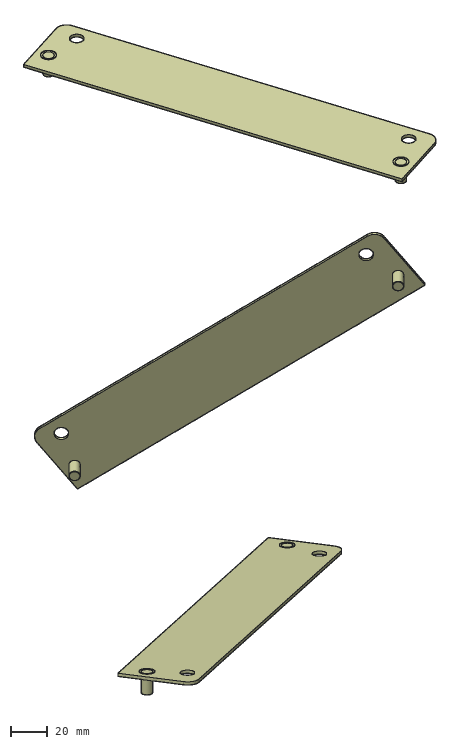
import cadquery as cq

PLATE_LENGTH = 231.8
PLATE_WIDTH = 44.5
PLATE_THICKNESS = 1.9
CORNER_RADIUS = 6.5

HOLE_DIAMETER = 7.9
HOLE_SPACING = 203.3
HOLE_EDGE_DISTANCE = 9.5

PIN_SPACING = 215.8
PIN_EDGE_DISTANCE = 14.0
SHANK_DIAMETER = 6.3
HEAD_DIAMETER = 8.5
HEAD_THICKNESS = 0.25
OVERALL_HEIGHT = 12.7
TIP_CHAMFER = 0.25

HOLE_Y = PLATE_WIDTH / 2 - HOLE_EDGE_DISTANCE
PIN_Y = -PLATE_WIDTH / 2 + PIN_EDGE_DISTANCE
HOLE_CENTERS = [(side * HOLE_SPACING / 2, HOLE_Y) for side in (-1, 1)]
PIN_CENTERS = [(side * PIN_SPACING / 2, PIN_Y) for side in (-1, 1)]
SHANK_LENGTH = OVERALL_HEIGHT - HEAD_THICKNESS


def make_plate():
    """Thin plate with two rounded corners, open holes and holes for the pins."""
    plate = cq.Workplane("XY").box(
        PLATE_LENGTH, PLATE_WIDTH, PLATE_THICKNESS, centered=(True, True, False)
    )
    plate = plate.edges("|Z and >Y").fillet(CORNER_RADIUS)
    top = plate.faces(">Z").workplane(origin=(0, 0, PLATE_THICKNESS))
    plate = top.pushPoints(HOLE_CENTERS).hole(HOLE_DIAMETER)
    top = plate.faces(">Z").workplane(origin=(0, 0, PLATE_THICKNESS))
    return top.pushPoints(PIN_CENTERS).hole(SHANK_DIAMETER)


def make_pin(center):
    """Pin with a flat head resting on the plate and a chamfered lower tip."""
    head_seat = cq.Workplane("XY", origin=(*center, PLATE_THICKNESS))
    shank = head_seat.circle(SHANK_DIAMETER / 2).extrude(-SHANK_LENGTH)
    shank = shank.faces("<Z").chamfer(TIP_CHAMFER)
    head = head_seat.circle(HEAD_DIAMETER / 2).extrude(HEAD_THICKNESS)
    return shank.union(head)


plate = make_plate()
pins = [make_pin(center) for center in PIN_CENTERS]

result = cq.Compound.makeCompound([plate.val(), *[pin.val() for pin in pins]])